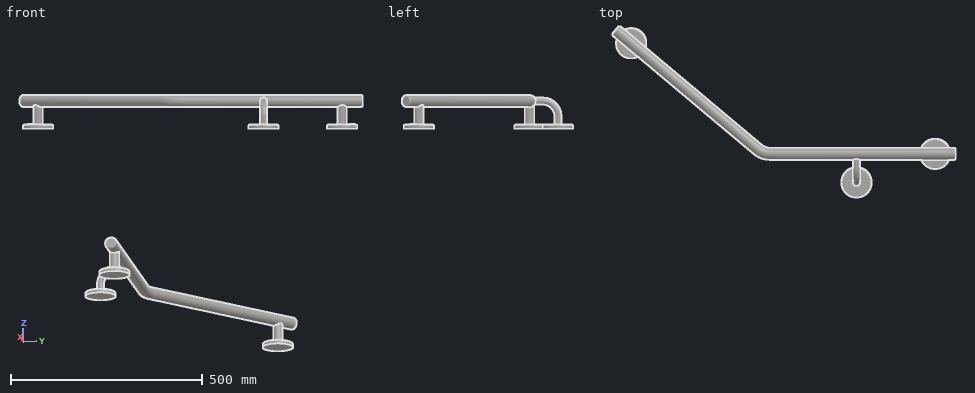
import cadquery as cq
import math

bar_diameter = 32.0
arm_length = 504.0
bend_angle = 40
bend_radius = 50.0
total_height = 89.0
end_rounding = 5.0
axis_height = total_height - bar_diameter / 2

flange_diameter = 80.0
flange_thickness = 12.0
flange_rounding = 5.0
screw_head_diameter = 13.0
screw_head_height = 2.0
screw_head_rounding = 1.35
screw_offset = 26.0

post_diameter = 25.0
post_end_distance = 54.0
post_distance = arm_length - post_end_distance

bracket_diameter = 19.0
bracket_x = 244.5
bracket_reach = 75.0
bracket_bend_radius = 40.0

weld_size = 2.0


def bent_rod(path, start_plane, diameter):
    """Round rod swept along a path that starts at the origin of start_plane."""
    return cq.Workplane(start_plane).circle(diameter / 2).sweep(path)


def handrail():
    """Both arms and the bend between them, with rounded ends."""
    angle = math.radians(bend_angle)
    tangent_length = bend_radius * math.tan(angle / 2)
    arc_middle = bend_radius * (1 / math.cos(angle / 2) - 1)
    middle_direction = math.radians(90 - bend_angle / 2)
    path = (
        cq.Workplane("XY", origin=(0, 0, axis_height))
        .moveTo(arm_length, 0)
        .lineTo(tangent_length, 0)
        .threePointArc(
            (arc_middle * math.cos(middle_direction), arc_middle * math.sin(middle_direction)),
            (-tangent_length * math.cos(angle), tangent_length * math.sin(angle)),
        )
        .lineTo(-arm_length * math.cos(angle), arm_length * math.sin(angle))
    )
    start_plane = cq.Plane(origin=(arm_length, 0, axis_height), xDir=(0, 1, 0), normal=(-1, 0, 0))
    rod = bent_rod(path, start_plane, bar_diameter)
    end_direction = cq.Vector(-math.cos(angle), math.sin(angle), 0)
    rod = rod.faces(">X").edges().fillet(end_rounding)
    return rod.faces(cq.selectors.DirectionMinMaxSelector(end_direction)).edges().fillet(end_rounding)


def flange(stem_diameter):
    """Flange at the origin with a rounded rim and a fillet for a stem of the given diameter."""
    disc = cq.Workplane("XY").circle(flange_diameter / 2).extrude(flange_thickness)
    disc = disc.faces(">Z").edges().fillet(flange_rounding)
    stem = cq.Workplane("XY").circle(stem_diameter / 2).extrude(flange_thickness + 2 * weld_size)
    inner_edge = cq.selectors.RadiusNthSelector(0)
    return disc.union(stem).faces(">Z[1]").edges(inner_edge).fillet(weld_size)


def end_post(direction):
    """Post, flange and screw head under an arm; direction is the arm's angle from +X in degrees."""
    post = cq.Workplane("XY").circle(post_diameter / 2).extrude(axis_height)
    screw_head = (
        cq.Workplane("XY")
        .center(screw_offset, 0)
        .circle(screw_head_diameter / 2)
        .extrude(flange_thickness + screw_head_height)
        .faces(">Z")
        .edges()
        .fillet(screw_head_rounding)
    )
    support = flange(post_diameter).union(post).union(screw_head)
    return support.translate((post_distance, 0, 0)).rotate((0, 0, 0), (0, 0, 1), direction)


def side_bracket():
    """Tube that rises from its flange and curves over into the side of the right arm."""
    arc_offset = bracket_bend_radius * (1 - math.sqrt(0.5))
    path = (
        cq.Workplane("YZ", origin=(bracket_x, 0, 0))
        .moveTo(-bracket_reach, 0)
        .lineTo(-bracket_reach, axis_height - bracket_bend_radius)
        .threePointArc(
            (-bracket_reach + arc_offset, axis_height - arc_offset),
            (-bracket_reach + bracket_bend_radius, axis_height),
        )
        .lineTo(0, axis_height)
    )
    foot = (bracket_x, -bracket_reach, 0)
    tube = bent_rod(path, cq.Plane(origin=foot), bracket_diameter)
    return tube.union(flange(bracket_diameter).translate(foot))


result = (
    handrail()
    .union(end_post(0))
    .union(end_post(180 - bend_angle))
    .union(side_bracket())
)